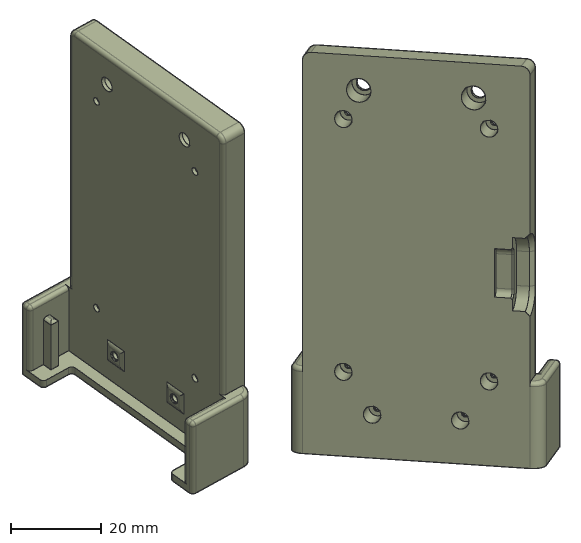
import cadquery as cq

width = 57.5
depth = 18.0
height = 93.0
edge_radius = 1.0

plate_width = 51.4
plate_depth = 6.5
plate_corner_radius = 1.95

wall_height = 20.0
wall_thickness = (width - plate_width) / 2
wall_back_radius = wall_thickness
floor_thickness = 1.95
notch_width = 42.4
notch_depth = 8.6

rib_reach = 2.5
rib_width = 2.2
rib_top = 15.2
rib_center_y = -12.8
rib_edge_radius = 1.1
rib_edge_overhang = 0.14

screw_web = 0.9
large_hole_diameter = 3.5
large_head_diameter = 5.5
large_hole_spacing = 25.95
large_hole_z = 84.9
small_hole_diameter = 1.9
small_head_diameter = 3.9
small_hole_spacing = 32.9
small_hole_heights = (19.5, 78.0)

boss_top = 3.5
boss_height = 0.5
boss_edge_radius = 1.5
boss_spacing = 19.9
boss_z = 10.0
boss_bore_diameter = 2.4
boss_bore_depth = 0.4
boss_hole_diameter = 1.9

slot_z = 44.7
slot_center_distance = 8.0
mouth_radius = 5.5
mouth_depth = 1.1
socket_radius = 4.5
socket_depth = 4.0
plug_radius = 1.95
plug_chamfer = 0.4
plug_depth = 4.0


def block(x_range, y_range, z_range):
    """Axis-aligned box between the given limits."""
    size = [high - low for low, high in (x_range, y_range, z_range)]
    corner = (x_range[0], y_range[0], z_range[0])
    return cq.Workplane("XY").box(*size, centered=False).translate(corner)


def mirrored_pair(solid):
    return solid.union(solid.mirror("YZ"))


def back_plate():
    half = plate_width / 2
    plate = block((-half, half), (-plate_depth, 0), (0, height))
    plate = plate.edges("|Y and >Z").fillet(plate_corner_radius)
    plate = plate.faces("<Y").edges("not <Z").fillet(edge_radius)
    return plate.union(block((-half, half), (-plate_depth, 0), (0, wall_height)))


def side_wall():
    """The -X wall; its inner edges are rounded only where it stands clear of the plate."""
    outer_x = -width / 2
    inner_x = outer_x + wall_thickness
    buried_x = inner_x + wall_thickness
    back_part = block((outer_x, buried_x), (-plate_depth, 0), (0, wall_height))
    back_part = back_part.edges("|Z and <X and >Y").fillet(wall_back_radius)
    back_part = back_part.faces(">Z").edges("<X").fillet(edge_radius)
    front_part = block((outer_x, inner_x), (-depth, -plate_depth), (0, wall_height))
    free_edges = front_part.faces(">Z").edges("not >Y").add(front_part.edges("|Z and <Y"))
    return free_edges.fillet(edge_radius).union(back_part)


def cradle_floor():
    """Floor with a wide notch in its front edge."""
    half = width / 2 - wall_thickness / 2
    floor = block((-half, half), (-depth, -plate_depth / 2), (0, floor_thickness))
    half_notch = notch_width / 2
    notch = block((-half_notch, half_notch), (-depth, notch_depth - depth), (0, floor_thickness))
    notched = floor.cut(notch)
    corners = cq.selectors.BoxSelector(
        (-half_notch - edge_radius, -depth - edge_radius, -edge_radius),
        (half_notch + edge_radius, notch_depth - depth + edge_radius, floor_thickness + edge_radius),
    )
    return notched.edges("|Z").edges(corners).fillet(edge_radius)


def guide_rib():
    """The -X rib; its three free top edges are rounded by a slightly oversized rounded block."""
    wall_x = -plate_width / 2
    root_x = wall_x - wall_thickness / 2
    tip_x = wall_x + rib_reach
    front_y = rib_center_y - rib_width / 2
    back_y = rib_center_y + rib_width / 2
    rib = block((root_x, tip_x), (front_y, back_y), (0, rib_top))
    envelope = block(
        (root_x, tip_x + rib_edge_overhang),
        (front_y - rib_edge_overhang, back_y + rib_edge_overhang),
        (0, rib_top),
    )
    return rib.intersect(envelope.faces(">Z").edges("not <X").fillet(rib_edge_radius))


def cylinder_along_y(x, z, diameter, front_y, back_y):
    plane = cq.Workplane("XZ", origin=(x, back_y, z))
    return plane.circle(diameter / 2).extrude(back_y - front_y)


def counterbored_hole(x, z, hole_diameter, head_diameter):
    shank = cylinder_along_y(x, z, hole_diameter, -plate_depth, 0)
    head = cylinder_along_y(x, z, head_diameter, screw_web - plate_depth, 0)
    return shank.union(head)


def boss(x):
    """Block sunk into the plate, so that only a cap of its rounded edges stands proud."""
    half = boss_top / 2 + boss_edge_radius
    sunk_y = 2 * boss_edge_radius - plate_depth
    cap = block((x - half, x + half), (-plate_depth - boss_height, sunk_y), (boss_z - half, boss_z + half))
    return cap.faces("<Y").edges().fillet(boss_edge_radius)


def boss_hole(x):
    front_y = -plate_depth - boss_height
    bore = cylinder_along_y(x, boss_z, boss_bore_diameter, front_y, front_y + boss_bore_depth)
    shank = cylinder_along_y(x, boss_z, boss_hole_diameter, front_y, 0)
    head = cylinder_along_y(x, boss_z, small_head_diameter, screw_web - plate_depth, 0)
    return bore.union(shank).union(head)


def rounded_slot(start, length, radius, end_radius=None):
    """Slot along +X from a depth below the plate side, straight or tapering to end_radius."""
    profile = cq.Workplane("YZ", origin=(start - plate_width / 2, 0, slot_z))
    profile = profile.slot2D(slot_center_distance + 2 * radius, 2 * radius, 90)
    if end_radius is None:
        return profile.extrude(length)
    profile = profile.workplane(offset=length)
    return profile.slot2D(slot_center_distance + 2 * end_radius, 2 * end_radius, 90).loft(ruled=True)


def cable_opening():
    mouth = rounded_slot(0, mouth_depth, mouth_radius, socket_radius)
    socket = rounded_slot(mouth_depth, socket_depth - mouth_depth, socket_radius)
    plug_lead_in = rounded_slot(socket_depth, plug_chamfer, plug_radius, plug_radius - plug_chamfer)
    plug = rounded_slot(socket_depth, plug_depth, plug_radius - plug_chamfer)
    return mouth.union(socket).union(plug_lead_in).union(plug)


result = back_plate().union(mirrored_pair(side_wall())).union(cradle_floor())
result = result.union(mirrored_pair(guide_rib()))

for side in (-1, 1):
    boss_x = side * boss_spacing / 2
    result = result.union(boss(boss_x)).cut(boss_hole(boss_x))
    large_x = side * large_hole_spacing / 2
    result = result.cut(counterbored_hole(large_x, large_hole_z, large_hole_diameter, large_head_diameter))
    small_x = side * small_hole_spacing / 2
    for small_z in small_hole_heights:
        result = result.cut(counterbored_hole(small_x, small_z, small_hole_diameter, small_head_diameter))

result = result.cut(cable_opening())